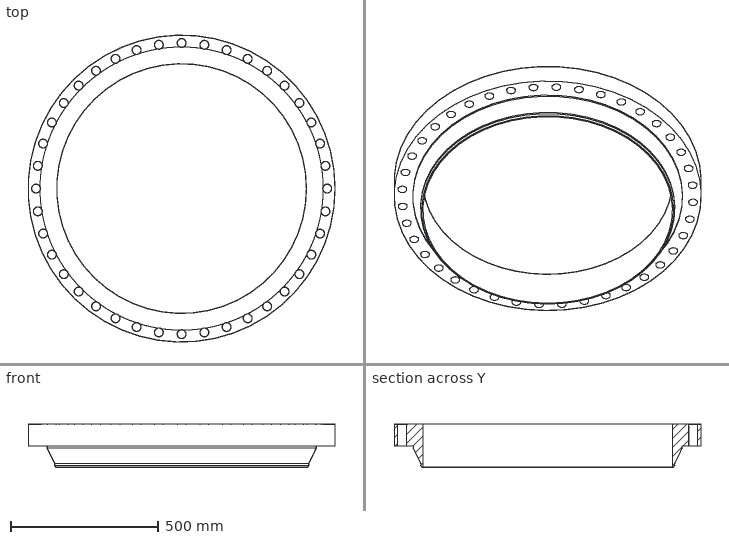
import cadquery as cq

flange_diameter = 1041.0
flange_radius = flange_diameter / 2
bore_radius = 846.0 / 2
total_height = 148.0
flange_thickness = 76.0
flange_bottom = total_height - flange_thickness

face_radius = 960.0 / 2
face_height = 1.0

neck_root_radius = 914.0 / 2
neck_root_height = 6.0
neck_end_radius = 862.0 / 2
neck_end_height = 6.0
weld_bevel_width = 4.0
weld_bevel_height = 6.0

bolt_count = 40
bolt_circle_radius = 987.0 / 2
bolt_hole_diameter = 29.0


def ring_body():
    """Revolve the flange, raised face and weld neck about Z as one section."""
    rim_top = total_height - face_height
    section = [
        (bore_radius, 0),
        (neck_end_radius - weld_bevel_width, 0),
        (neck_end_radius, weld_bevel_height),
        (neck_end_radius, weld_bevel_height + neck_end_height),
        (neck_root_radius, flange_bottom - neck_root_height),
        (neck_root_radius, flange_bottom),
        (flange_radius, flange_bottom),
        (flange_radius, rim_top),
        (face_radius, rim_top),
        (face_radius, total_height),
        (bore_radius, total_height),
    ]
    return cq.Workplane("XZ").polyline(section).close().revolve(360, (0, 0), (0, 1))


def bolt_holes():
    """Cylinders that drill the bolt circle through the flange only."""
    return (
        cq.Workplane("XY", origin=(0, 0, flange_bottom))
        .polarArray(bolt_circle_radius, 0, 360, bolt_count)
        .circle(bolt_hole_diameter / 2)
        .extrude(flange_thickness)
    )


result = ring_body().cut(bolt_holes())